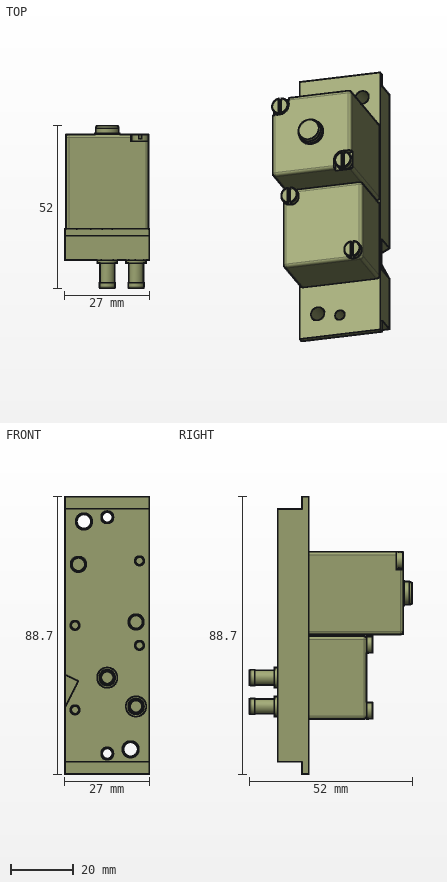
import cadquery as cq

PLATE_WIDTH = 27.0
PLATE_HEIGHT = 88.7
PLATE_DEPTH = 10.0
LIP_HEIGHT = 3.9
LIP_DEPTH = 2.2

MODULE_PITCH = 27.0
UPPER_Z = MODULE_PITCH / 2
LOWER_Z = -MODULE_PITCH / 2
HOUSING_SIZE = 26.5
UPPER_HOUSING_DEPTH = 30.2
LOWER_HOUSING_DEPTH = 18.5
HOUSING_EDGE_RADIUS = 1.0

SCREW_HEAD_OFFSET = 10.55
SCREW_HEAD_DIAMETER = 5.4
UPPER_HEAD_HEIGHT = 2.25
LOWER_HEAD_HEIGHT = 2.0
SCREW_HEAD_CHAMFER = 0.2
SLOT_WIDTH = 1.0
SLOT_DEPTH = 1.5
SCREW_POCKET_DIAMETER = 6.0

CAP_HEIGHT = 2.8
CAP_DIAMETER = 7.5
CAP_FOOT_DIAMETER = 8.0
CAP_FOOT_HEIGHT = 0.35
CAP_BEVEL_HEIGHT = 0.85
CAP_BEVEL_WIDTH = 0.4

PORT_OFFSET = 9.2
NIPPLE_LENGTH = 9.0
NIPPLE_FLANGE_DIAMETER = 6.5
NIPPLE_FLANGE_HEIGHT = 1.0
NIPPLE_TUBE_DIAMETER = 4.8
NIPPLE_BARB_DIAMETER = 5.1
NIPPLE_BARB_LENGTH = 1.7
NIPPLE_TIP_BEVEL = 0.5
NIPPLE_BORE_DIAMETER = 3.8

SCREW_HOLE = (2.46, 3.0)
SCREW_HOLE_OFFSET = 10.3
PORT_HOLE = (4.13, 5.0)
SMALL_MOUNT_HOLE = (3.24, 4.0)
LARGE_MOUNT_HOLE = (4.5, 5.3)
BLIND_DEPTH = 8.0
SMALL_MOUNT_Z = 37.75
LARGE_MOUNT_X = 7.45
LARGE_MOUNT_Z = 36.4

NOTCH_TOP_Z = -12.55
NOTCH_BOTTOM_Z = -23.05
NOTCH_APEX_X = -9.25
NOTCH_APEX_Z = -14.6
NOTCH_DEPTH = 8.0


def box(x_min, x_max, y_min, y_max, z_min, z_max):
    """Box between the given limits."""
    size = (x_max - x_min, y_max - y_min, z_max - z_min)
    return cq.Workplane("XY").box(*size, centered=False).translate((x_min, y_min, z_min))


def turned(profile, x, y, z):
    """Revolve (radius, y) points about an axis along Y through (x, z), starting at y."""
    solid = cq.Workplane("XY").polyline(profile).close().revolve(360, (0, 0, 0), (0, 1, 0))
    return solid.translate((x, y, z))


def opposite_corners(center_z, offset):
    """The +X+Z and -X-Z positions around a housing centre."""
    return [(side * offset, center_z + side * offset) for side in (1, -1)]


def make_plate():
    """Plate with a thin lip at its top and bottom, flush with the back."""
    half_width = PLATE_WIDTH / 2
    half_height = PLATE_HEIGHT / 2
    body_half_height = half_height - LIP_HEIGHT
    body = box(-half_width, half_width, 0, PLATE_DEPTH, -body_half_height, body_half_height)
    lip_front = PLATE_DEPTH - LIP_DEPTH
    lips = box(-half_width, half_width, lip_front, PLATE_DEPTH, -half_height, half_height)
    return body.union(lips)


def make_notch():
    """Triangular prism that opens on the front face and the -X side."""
    side_x = -PLATE_WIDTH / 2
    outline = [(side_x, NOTCH_TOP_Z), (NOTCH_APEX_X, NOTCH_APEX_Z), (side_x, NOTCH_BOTTOM_Z)]
    return cq.Workplane("XZ").polyline(outline).close().extrude(-NOTCH_DEPTH)


def make_housing(center_z, depth):
    """Block on the back of the plate with its side and rear edges rounded."""
    half = HOUSING_SIZE / 2
    block = box(-half, half, PLATE_DEPTH, PLATE_DEPTH + depth, center_z - half, center_z + half)
    return block.edges("|Y or >Y").fillet(HOUSING_EDGE_RADIUS)


def make_screw_head(x, z, seat_y, height):
    """Round head with a bevelled rim and a slot along Z."""
    radius = SCREW_HEAD_DIAMETER / 2
    profile = [
        (0, 0),
        (radius, 0),
        (radius, height - SCREW_HEAD_CHAMFER),
        (radius - SCREW_HEAD_CHAMFER, height),
        (0, height),
    ]
    top_y = seat_y + height
    slot = box(
        x - SLOT_WIDTH / 2, x + SLOT_WIDTH / 2, top_y - SLOT_DEPTH, top_y, z - radius, z + radius
    )
    return turned(profile, x, seat_y, z).cut(slot)


def make_screw_pocket(side, floor_y):
    """Corner recess for a screw head, round on its inside and open at the housing corner."""
    radius = SCREW_POCKET_DIAMETER / 2
    reach = HOUSING_SIZE / 2 - SCREW_HEAD_OFFSET + radius
    pocket = cq.Workplane("XZ").rect(reach, reach).extrude(-UPPER_HEAD_HEIGHT)
    inner_corner = "<X and <Z" if side > 0 else ">X and >Z"
    pocket = pocket.edges("|Y").edges(inner_corner).fillet(radius)
    center = side * (HOUSING_SIZE - reach) / 2
    return pocket.translate((center, floor_y, UPPER_Z + center))


def make_cap():
    """Bevelled round cap with a slightly wider foot."""
    radius = CAP_DIAMETER / 2
    foot_radius = CAP_FOOT_DIAMETER / 2
    profile = [
        (0, 0),
        (foot_radius, 0),
        (foot_radius, CAP_FOOT_HEIGHT),
        (radius, CAP_FOOT_HEIGHT),
        (radius, CAP_HEIGHT - CAP_BEVEL_HEIGHT),
        (radius - CAP_BEVEL_WIDTH, CAP_HEIGHT),
        (0, CAP_HEIGHT),
    ]
    return turned(profile, 0, PLATE_DEPTH + UPPER_HOUSING_DEPTH, UPPER_Z)


def make_nipple(x, z):
    """Flanged hose nipple with a barb at its tip, pointing to -Y."""
    flange_radius = NIPPLE_FLANGE_DIAMETER / 2
    tube_radius = NIPPLE_TUBE_DIAMETER / 2
    barb_radius = NIPPLE_BARB_DIAMETER / 2
    barb_start = NIPPLE_LENGTH - NIPPLE_BARB_LENGTH
    profile = [
        (0, 0),
        (flange_radius, 0),
        (flange_radius, -NIPPLE_FLANGE_HEIGHT),
        (tube_radius, -NIPPLE_FLANGE_HEIGHT),
        (tube_radius, -barb_start),
        (barb_radius, -barb_start),
        (barb_radius, NIPPLE_TIP_BEVEL - NIPPLE_LENGTH),
        (tube_radius, -NIPPLE_LENGTH),
        (0, -NIPPLE_LENGTH),
    ]
    return turned(profile, x, 0, z)


def make_hole(x, z, diameters, depth):
    """Hole from the front face with a 45 degree countersink."""
    radius = diameters[0] / 2
    rim_radius = diameters[1] / 2
    profile = [(0, 0), (rim_radius, 0), (radius, rim_radius - radius), (radius, depth), (0, depth)]
    return turned(profile, x, 0, z)


def make_bore(x, z):
    """Straight bore through a nipple into the plate."""
    radius = NIPPLE_BORE_DIAMETER / 2
    length = NIPPLE_LENGTH + BLIND_DEPTH
    return turned([(0, 0), (radius, 0), (radius, length), (0, length)], x, -NIPPLE_LENGTH, z)


part = make_plate().cut(make_notch())
upper_housing = make_housing(UPPER_Z, UPPER_HOUSING_DEPTH)
upper_seat_y = PLATE_DEPTH + UPPER_HOUSING_DEPTH - UPPER_HEAD_HEIGHT
for corner_side in (1, -1):
    upper_housing = upper_housing.cut(make_screw_pocket(corner_side, upper_seat_y))
part = part.union(upper_housing).union(make_housing(LOWER_Z, LOWER_HOUSING_DEPTH))
part = part.union(make_cap())

lower_seat_y = PLATE_DEPTH + LOWER_HOUSING_DEPTH
screw_rows = [
    (UPPER_Z, upper_seat_y, UPPER_HEAD_HEIGHT),
    (LOWER_Z, lower_seat_y, LOWER_HEAD_HEIGHT),
]
for row_z, row_seat_y, head_height in screw_rows:
    for head_x, head_z in opposite_corners(row_z, SCREW_HEAD_OFFSET):
        part = part.union(make_screw_head(head_x, head_z, row_seat_y, head_height))
    for hole_x, hole_z in opposite_corners(row_z, SCREW_HOLE_OFFSET):
        part = part.cut(make_hole(hole_x, hole_z, SCREW_HOLE, BLIND_DEPTH))

for hole_x, hole_z in [(-PORT_OFFSET, UPPER_Z + PORT_OFFSET), (PORT_OFFSET, UPPER_Z - PORT_OFFSET)]:
    part = part.cut(make_hole(hole_x, hole_z, PORT_HOLE, BLIND_DEPTH))

for nipple_x, nipple_z in [(0, LOWER_Z), (PORT_OFFSET, LOWER_Z - PORT_OFFSET)]:
    part = part.union(make_nipple(nipple_x, nipple_z)).cut(make_bore(nipple_x, nipple_z))

for side in (1, -1):
    part = part.cut(make_hole(0, side * SMALL_MOUNT_Z, SMALL_MOUNT_HOLE, PLATE_DEPTH))
    large_hole = make_hole(-side * LARGE_MOUNT_X, side * LARGE_MOUNT_Z, LARGE_MOUNT_HOLE, PLATE_DEPTH)
    part = part.cut(large_hole)

result = part